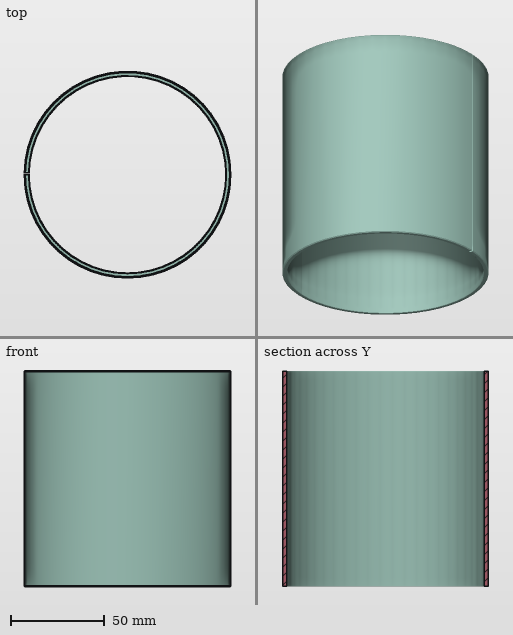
import cadquery as cq
import math

outer_diameter = 110.0
wall_thickness = 2.5
height = 115.0
outer_rim_chamfer = 0.5
inner_rim_chamfer = 0.2
slit_angle = 1.0
cutter_overrun = 5.0

outer_radius = outer_diameter / 2
inner_radius = outer_radius - wall_thickness


def chamfered_tube():
    """Open tube standing on the XY plane, with both rims chamfered outside and inside."""
    tube = cq.Workplane("XY").circle(outer_radius).circle(inner_radius).extrude(height)
    largest_circles = cq.selectors.RadiusNthSelector(-1)
    tube = tube.edges("%CIRCLE").edges(largest_circles).chamfer(outer_rim_chamfer)
    smallest_circles = cq.selectors.RadiusNthSelector(0)
    return tube.edges("%CIRCLE").edges(smallest_circles).chamfer(inner_rim_chamfer)


def slit_cutter():
    """Wedge from the tube axis whose sides are the -X axis and a ray turned from it towards +Y."""
    reach = outer_radius + cutter_overrun
    spread = reach * math.tan(math.radians(slit_angle))
    corners = [(0, 0), (-reach, 0), (-reach, spread)]
    return cq.Workplane("XY").polyline(corners).close().extrude(height)


result = chamfered_tube().cut(slit_cutter())